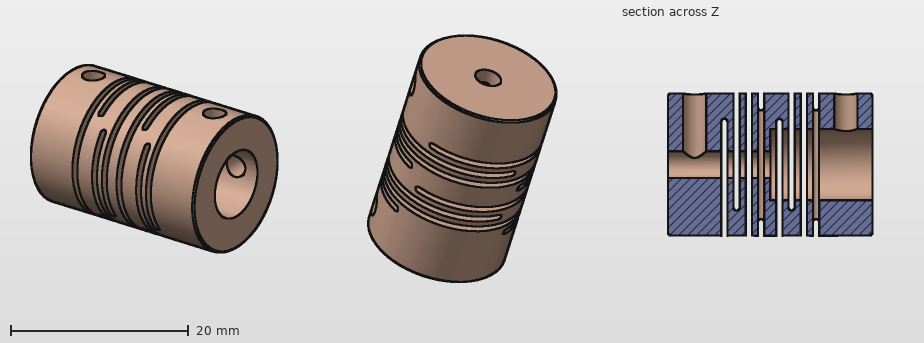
import cadquery as cq

length = 23.0
diameter = 16.0
edge_chamfer = 0.2

left_bore_diameter = 3.0
right_bore_diameter = 8.0

screw_hole_diameter = 2.6
screw_hole_inset = 3.0

slotted_length = 11.0
groups = 2
group_slots = 4
group_units = 2 * group_slots - 1
wall_between_groups_units = 2
slot_width = slotted_length / (groups * group_units + wall_between_groups_units)
slot_pitch = 2 * slot_width
group_pitch = (group_units + wall_between_groups_units) * slot_width
first_slot_x = (slot_width - slotted_length) / 2
slot_overrun = 5.15

TOP = 0
FRONT = 90
BOTTOM = 180
BACK = -90
slot_sides = [FRONT, BACK, BOTTOM, TOP]
screw_hole_sides = [TOP, BACK]


def make_body():
    """Cylinder with both end rims chamfered."""
    body = cq.Workplane("YZ", origin=(-length / 2, 0, 0)).circle(diameter / 2).extrude(length)
    return body.faces("<X or >X").chamfer(edge_chamfer)


def make_bores():
    """The two shaft bores as one stepped solid."""
    left = cq.Workplane("YZ").circle(left_bore_diameter / 2).extrude(-length / 2)
    right = cq.Workplane("YZ").circle(right_bore_diameter / 2).extrude(length / 2)
    return left.union(right)


def turn_to_side(shape, side):
    return shape.rotate((0, 0, 0), (1, 0, 0), side)


def make_screw_hole(x, side):
    """Radial hole from the axis out past the surface."""
    hole = cq.Workplane("XY").center(x, 0).circle(screw_hole_diameter / 2).extrude(diameter)
    return turn_to_side(hole, side)


def make_slot(x, side):
    """Slot open at the surface, with a full-round floor beyond the axis."""
    half_width = slot_width / 2
    floor_arc_z = half_width - slot_overrun
    slot = (
        cq.Workplane("XZ")
        .moveTo(x - half_width, diameter)
        .lineTo(x - half_width, floor_arc_z)
        .threePointArc((x, -slot_overrun), (x + half_width, floor_arc_z))
        .lineTo(x + half_width, diameter)
        .close()
        .extrude(diameter, both=True)
    )
    return turn_to_side(slot, side)


result = make_body().cut(make_bores())

screw_hole_x = length / 2 - screw_hole_inset
for hole_x in (-screw_hole_x, screw_hole_x):
    for hole_side in screw_hole_sides:
        result = result.cut(make_screw_hole(hole_x, hole_side))

for group in range(groups):
    for index, slot_side in enumerate(slot_sides):
        slot_x = first_slot_x + group * group_pitch + index * slot_pitch
        result = result.cut(make_slot(slot_x, slot_side))